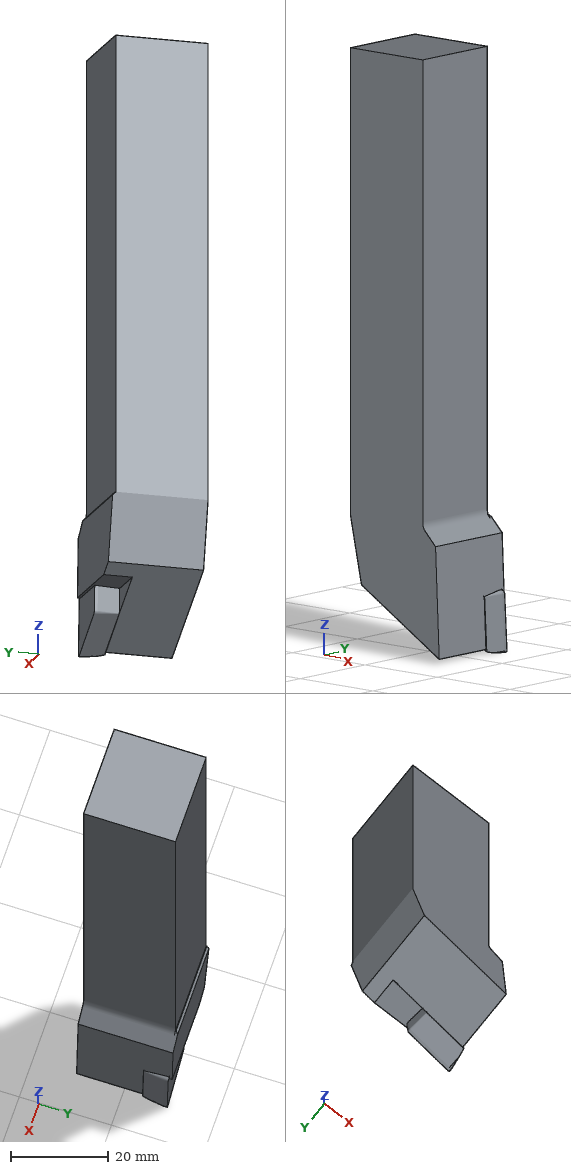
import cadquery as cq
import math

shank_side = 20.0
total_length = 126.4

head_back = 20.6
bend_z = 28.3
heel_x, heel_z = 3.0, 14.2
shoulder_x, shoulder_z = 23.5, 24.8
toe_x, toe_z = 24.5, 1.3
neck_fillet = 2.5
pad_chamfer = 0.5

tip_x = 25.4
nose_angle = 55.0
side_lean = 3.0
insert_edge = 12.9
insert_thickness = 5.5
rim_thickness = 0.8
clearance_angle = 7.0
nose_radius = 0.4
corner_radius = 0.8

relief_top_z = 12.3

seat_y = shank_side - insert_thickness


def extrude_y(sketch_points, y_start, y_end):
    """Prism from an XZ outline, running from y_start to y_end."""
    return (
        cq.Workplane("XZ", origin=(0, y_start, 0))
        .polyline(sketch_points)
        .close()
        .extrude(y_start - y_end)
    )


def make_insert():
    """Rhombic plate with a straight rim and flanks tapering inward below it."""
    side_angle = math.radians(90 + side_lean)
    lower_angle = side_angle + math.radians(nose_angle)
    side_step = (insert_edge * math.cos(side_angle), insert_edge * math.sin(side_angle))
    lower_step = (insert_edge * math.cos(lower_angle), insert_edge * math.sin(lower_angle))
    centre_offset = nose_radius / math.sin(math.radians(nose_angle / 2))
    bisector = side_angle + math.radians(nose_angle / 2)
    corner_x = tip_x - nose_radius - centre_offset * math.cos(bisector)
    corner_z = nose_radius - centre_offset * math.sin(bisector)
    outline = [
        (corner_x, corner_z),
        (corner_x + side_step[0], corner_z + side_step[1]),
        (corner_x + side_step[0] + lower_step[0], corner_z + side_step[1] + lower_step[1]),
        (corner_x + lower_step[0], corner_z + lower_step[1]),
    ]
    rim_y = shank_side - rim_thickness
    rim = extrude_y(outline, rim_y, shank_side)
    rim = rim.edges("|Y").edges("not <Z").fillet(corner_radius)
    rim = rim.edges("|Y").edges("<Z").fillet(nose_radius)
    flanks = (
        rim.faces("<Y").wires().toPending()
        .workplane()
        .extrude(insert_thickness - rim_thickness, taper=clearance_angle, combine=False)
    )
    return rim.union(flanks)


def make_holder(insert):
    """Shank and cranked head, with the relief and the insert seat cut out."""
    head_outline = [
        (0, bend_z),
        (heel_x, heel_z),
        (toe_x, toe_z),
        (shoulder_x, shoulder_z),
        (shank_side, bend_z),
    ]
    shank_top = [(shank_side, total_length), (0, total_length)]
    body = extrude_y(head_outline + shank_top, 0, shank_side)
    neck_edge = cq.selectors.NearestToPointSelector((shank_side, shank_side / 2, bend_z))
    body = body.edges(neck_edge).fillet(neck_fillet)
    back_pad = extrude_y(head_outline, shank_side, head_back)
    back_pad = back_pad.faces(">Z").edges(">Y").chamfer(pad_chamfer)
    relief_outline = [
        (heel_x, 0),
        (heel_x, relief_top_z),
        (tip_x, relief_top_z),
        (tip_x, 0),
    ]
    relief = extrude_y(relief_outline, seat_y, head_back)
    return body.union(back_pad).cut(relief).cut(insert)


insert = make_insert()
holder = make_holder(insert)

result = cq.Compound.makeCompound([holder.val(), insert.val()])